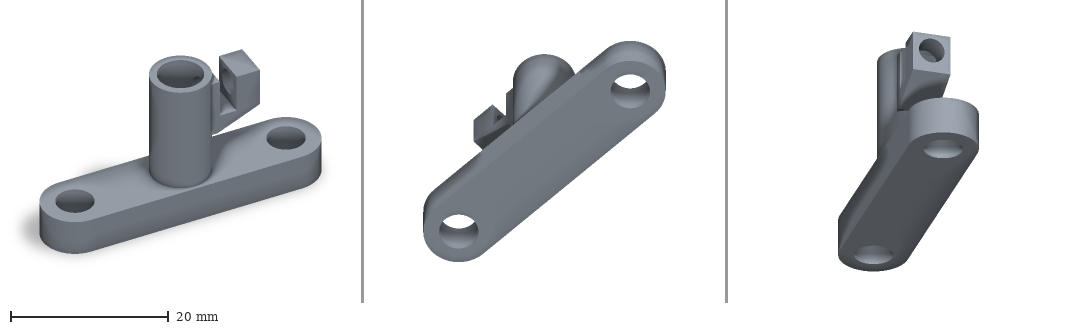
import cadquery as cq

plate_length = 39.0
plate_width = 9.0
plate_height = 5.0
mount_hole_diameter = 5.0
mount_hole_spacing = plate_length - plate_width

post_diameter = 8.0
post_radius = post_diameter / 2
bore_diameter = 6.0
total_height = 20.0
post_height = total_height - plate_height

bracket_width = 5.0
bracket_reach = 10.02
bracket_top = 19.0
bracket_bottom = 11.0
outer_jaw_bottom = 13.6
slot_floor = 13.7
slot_outer = 6.7
slot_inner = 4.35

cross_hole_diameter = 3.4
cross_hole_height = 16.65


def make_plate():
    blank = cq.Workplane("XY").slot2D(plate_length, plate_width, 90).extrude(plate_height)
    mount_holes = (
        cq.Workplane("XY")
        .rarray(0.4, mount_hole_spacing, 1, 2)
        .circle(mount_hole_diameter / 2)
        .extrude(plate_height)
    )
    return blank.cut(mount_holes)


def make_post():
    return cq.Workplane("XY").workplane(offset=plate_height).circle(post_radius).extrude(post_height)


def make_bracket():
    profile = [
        (0, bracket_bottom),
        (post_radius, bracket_bottom),
        (bracket_reach, outer_jaw_bottom),
        (bracket_reach, bracket_top),
        (slot_outer, bracket_top),
        (slot_outer, slot_floor),
        (slot_inner, slot_floor),
        (slot_inner, bracket_top),
        (0, bracket_top),
    ]
    return cq.Workplane("YZ").polyline(profile).close().extrude(bracket_width / 2, both=True)


def make_bore():
    return cq.Workplane("XY").workplane(offset=plate_height).circle(bore_diameter / 2).extrude(post_height)


def make_cross_hole():
    return (
        cq.Workplane("XZ")
        .center(0, cross_hole_height)
        .circle(cross_hole_diameter / 2)
        .extrude(-bracket_reach)
    )


result = make_plate().union(make_post()).union(make_bracket()).cut(make_bore()).cut(make_cross_hole())